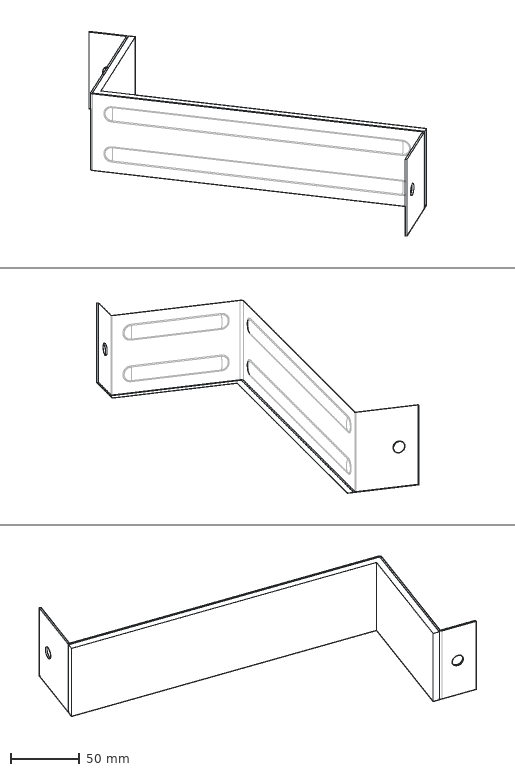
import cadquery as cq
import math

length = 282.0
depth = 152.0
height = 62.0

sheet = 1.5
inner_bend = 0.5
outer_bend = inner_bend + sheet
side_tab = 28.5
front_tab = 48.8

backing = 5.0

bead_width = 12.5
bead_slope = 38.0
bead_rim = 1.5
bead_spacing = 32.5
bead_margin = 10.5

hole_diameter = 9.0
hole_margin = 15.0

side_face = side_tab
long_face = front_tab
side_inner = side_face + sheet
long_inner = long_face + sheet
middle = height / 2

pick = 0.03


def fold(strip, x, y, radius):
    """Round the vertical edge of the strip that stands at (x, y)."""
    edge = cq.selectors.BoxSelector((x - pick, y - pick, 0), (x + pick, y + pick, height))
    return strip.edges(edge).fillet(radius)


def folded_strip():
    outline = [
        (0, depth),
        (side_inner, depth),
        (side_inner, long_inner),
        (length, long_inner),
        (length, 0),
        (length - sheet, 0),
        (length - sheet, long_face),
        (side_face, long_face),
        (side_face, depth - sheet),
        (0, depth - sheet),
    ]
    strip = cq.Workplane("XY").polyline(outline).close().extrude(height)
    strip = fold(strip, side_inner, depth, outer_bend)
    strip = fold(strip, side_face, depth - sheet, inner_bend)
    strip = fold(strip, side_inner, long_inner, inner_bend)
    strip = fold(strip, side_face, long_face, outer_bend)
    strip = fold(strip, length, long_inner, outer_bend)
    return fold(strip, length - sheet, long_face, inner_bend)


def backing_layer():
    outline = [
        (side_inner, depth),
        (side_inner + backing, depth),
        (side_inner + backing, long_inner + backing),
        (length, long_inner + backing),
        (length, long_inner),
        (side_inner, long_inner),
    ]
    layer = cq.Workplane("XY").polyline(outline).close().extrude(height)
    return fold(layer, side_inner, long_inner, inner_bend)


def rim_point(angle):
    """The point (across, up) of the bead's rounded rim where its slope has the given angle."""
    across = bead_width / 2 - bead_rim * math.sin(angle)
    return across, bead_rim * (math.cos(angle) - 1)


def bead(span):
    """A bead of the given overall length along X, sunk from the plane Z = 0, centred on the origin.

    Inside the rim its section is a fourth-power curve, which is nearly flat along the middle.
    """
    slope = math.radians(bead_slope)
    edge = bead_width / 2
    inner, inner_z = rim_point(slope)
    rim_middle, rim_middle_z = rim_point(slope / 2)
    rise = inner * math.tan(slope) / 4
    floor_z = inner_z - rise
    end = (span - bead_width) / 2

    whole_curve = [
        (-inner, inner_z),
        (-inner / 2, floor_z - rise),
        (0, inner_z),
        (inner / 2, floor_z - rise),
        (inner, inner_z),
    ]
    half_curve = [(inner * i / 4, floor_z) for i in range(4)] + [(inner, inner_z)]

    trough = (
        cq.Workplane("YZ", origin=(-end, 0, 0))
        .moveTo(-edge, 0)
        .threePointArc((-rim_middle, rim_middle_z), (-inner, inner_z))
        .bezier(whole_curve)
        .threePointArc((rim_middle, rim_middle_z), (edge, 0))
        .close()
        .extrude(2 * end)
    )
    left_end = (
        cq.Workplane("YZ", origin=(-end, 0, 0))
        .lineTo(0, floor_z)
        .bezier(half_curve)
        .threePointArc((rim_middle, rim_middle_z), (edge, 0))
        .close()
        .revolve(180, (0, 0), (0, 1))
    )
    right_end = left_end.mirror("YZ")
    return trough.union(left_end, clean=False).union(right_end, clean=False)


def leg_beads(plane, span):
    """The two beads of a leg, sunk from the given plane."""
    beads = []
    for y in (-bead_spacing / 2, bead_spacing / 2):
        beads.append(bead(span).translate((0, y, 0)).val().moved(plane.location))
    return beads


def fixing_hole(plane):
    """A cutter through the tab behind the given plane."""
    return cq.Workplane(plane).circle(hole_diameter / 2).extrude(-sheet)


bracket = folded_strip()
lining = backing_layer()

side_beads = (
    cq.Plane((side_face, (long_face + depth) / 2, middle), (0, -1, 0), (-1, 0, 0)),
    depth - long_face - 2 * bead_margin,
)
long_beads = (
    cq.Plane(((side_face + length) / 2, long_face, middle), (1, 0, 0), (0, -1, 0)),
    length - side_face - 2 * bead_margin,
)

for plane, span in (side_beads, long_beads):
    inward = plane.zDir * -sheet
    for shape in leg_beads(plane, span):
        bulge = cq.Workplane(shape.moved(cq.Location(inward)))
        bracket = bracket.union(bulge, clean=False).cut(cq.Workplane(shape), clean=False)
        lining = lining.cut(bulge)

side_tab_face = cq.Plane((hole_margin, depth, middle), (1, 0, 0), (0, 1, 0))
front_tab_face = cq.Plane((length, hole_margin, middle), (0, 1, 0), (1, 0, 0))
for face in (side_tab_face, front_tab_face):
    bracket = bracket.cut(fixing_hole(face), clean=False)

result = cq.Compound.makeCompound([bracket.val(), lining.val()])